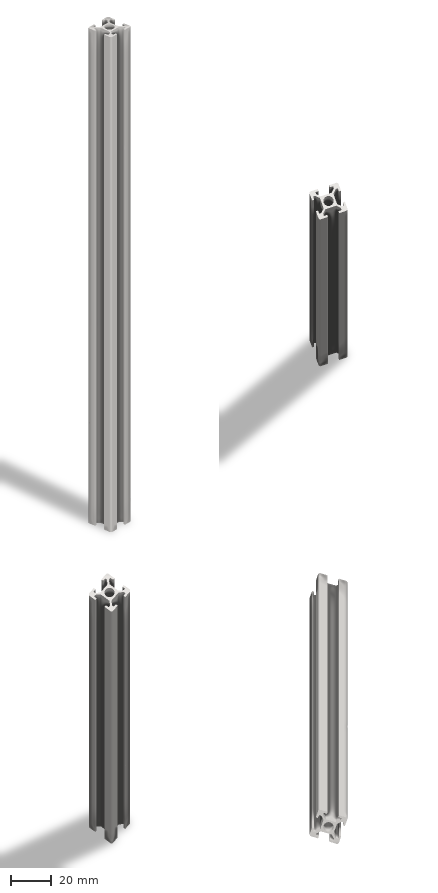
import cadquery as cq

length = 280.0
width = 15.0
slot_opening = 6.0
lip_thickness = 1.0
pocket_width = 9.2
core_width = 7.0
web_thickness = 0.98
bore_diameter = 5.0
corner_radius = 0.98
mouth_radius = 0.17

outer = width / 2
mouth = slot_opening / 2
lip_inside = outer - lip_thickness
pocket_side = pocket_width / 2
floor = core_width / 2
web_offset = web_thickness / 2 * 2 ** 0.5


def make_slot():
    """T-slot in the +Y face, with rounded mouth edges and a pocket that tapers along the webs."""
    right_side = [
        (mouth, lip_inside),
        (pocket_side, lip_inside),
        (pocket_side, pocket_side + web_offset),
        (floor - web_offset, floor),
    ]
    left_side = [(-x, y) for x, y in reversed(right_side)]
    return (
        cq.Workplane("XY")
        .moveTo(mouth + mouth_radius, outer)
        .radiusArc((mouth, outer - mouth_radius), -mouth_radius)
        .polyline(right_side + left_side, includeCurrent=True)
        .lineTo(-mouth, outer - mouth_radius)
        .radiusArc((-mouth - mouth_radius, outer), -mouth_radius)
        .close()
        .extrude(length)
    )


bar = cq.Workplane("XY").rect(width, width).extrude(length).edges("|Z").fillet(corner_radius)

slot = make_slot()
for angle in (0, 90, 180, 270):
    bar = bar.cut(slot.rotate((0, 0, 0), (0, 0, 1), angle))

bore = cq.Workplane("XY").circle(bore_diameter / 2).extrude(length)
result = bar.cut(bore)